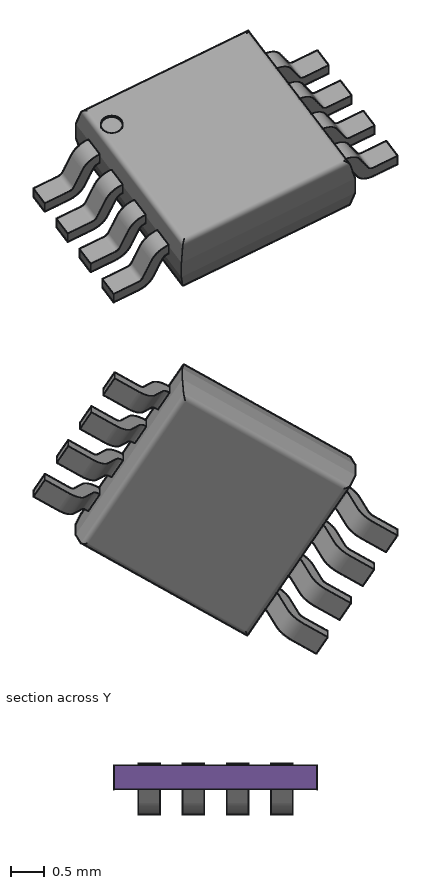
import cadquery as cq
import math

OVERALL_LENGTH = 4.9

HOUSING_SIDE = 3.0
HOUSING_HEIGHT = 1.1
BAND_HEIGHT = 0.355
TAPER_ANGLE = 10.0
RIM_RADIUS = 0.085

LEADS_PER_SIDE = 4
LEAD_PITCH = 0.65
LEAD_WIDTH = 0.325
LEAD_THICKNESS = 0.21
LEAD_TOP = 0.755
LEAD_SLOPE = 64.5
SHOULDER_LENGTH = 0.02
SHOULDER_INNER_RADIUS = 0.1
FOOT_INNER_RADIUS = 0.09

MARKER_DIAMETER = 0.325
MARKER_WALL_OFFSET = 0.305
MARKER_DEPTH = 0.04
MARKER_THICKNESS = 0.02

half_side = HOUSING_SIDE / 2
taper_height = (HOUSING_HEIGHT - BAND_HEIGHT) / 2
first_lead_x = -LEAD_PITCH * (LEADS_PER_SIDE - 1) / 2
marker_x = first_lead_x
marker_y = -half_side + MARKER_WALL_OFFSET
marker_top = HOUSING_HEIGHT - MARKER_DEPTH
marker_bottom = marker_top - MARKER_THICKNESS


def marker_cylinder(bottom, top):
    """Upright cylinder at the marker's place, between two heights."""
    return (
        cq.Workplane("XY", origin=(marker_x, marker_y, bottom))
        .circle(MARKER_DIAMETER / 2)
        .extrude(top - bottom)
    )


def make_housing():
    """Tapered block with rounded top and bottom rims and the marker recess."""
    block = (
        cq.Workplane("XY", origin=(0, 0, taper_height))
        .rect(HOUSING_SIDE, HOUSING_SIDE)
        .extrude(BAND_HEIGHT)
        .faces(">Z").wires().toPending()
        .workplane()
        .extrude(taper_height, taper=TAPER_ANGLE)
        .faces("<Z").wires().toPending()
        .workplane()
        .extrude(taper_height, taper=TAPER_ANGLE)
    )
    rounded = block.faces("<Z or >Z").edges().fillet(RIM_RADIUS)
    return rounded.cut(marker_cylinder(marker_bottom, HOUSING_HEIGHT))


def make_lead(x):
    """Gull-wing lead on the -Y side: a rectangle swept along its mid-thickness line."""
    half_thickness = LEAD_THICKNESS / 2
    shoulder_z = LEAD_TOP - half_thickness
    foot_z = half_thickness
    slope = math.radians(LEAD_SLOPE)
    cos_slope = math.cos(slope)
    sin_slope = math.sin(slope)

    shoulder_radius = SHOULDER_INNER_RADIUS + half_thickness
    foot_radius = FOOT_INNER_RADIUS + half_thickness
    slope_start = (
        -half_side - SHOULDER_LENGTH - shoulder_radius * sin_slope,
        shoulder_z - shoulder_radius * (1 - cos_slope),
    )
    slope_end_z = foot_z + foot_radius * (1 - cos_slope)
    slope_end = (
        slope_start[0] - (slope_start[1] - slope_end_z) / math.tan(slope),
        slope_end_z,
    )
    foot_start = (slope_end[0] - foot_radius * sin_slope, foot_z)

    path = (
        cq.Workplane("YZ", origin=(x, 0, 0))
        .moveTo(-half_side, shoulder_z)
        .lineTo(-half_side - SHOULDER_LENGTH, shoulder_z)
        .tangentArcPoint(slope_start, relative=False)
        .lineTo(*slope_end)
        .tangentArcPoint(foot_start, relative=False)
        .lineTo(-OVERALL_LENGTH / 2, foot_z)
    )
    return (
        cq.Workplane("XZ", origin=(x, -half_side, shoulder_z))
        .rect(LEAD_WIDTH, LEAD_THICKNESS)
        .sweep(path)
    )


housing = make_housing()
marker = marker_cylinder(marker_bottom, marker_top)

leads = []
for index in range(LEADS_PER_SIDE):
    front_lead = make_lead(first_lead_x + index * LEAD_PITCH)
    back_lead = front_lead.mirror("XZ")
    leads.append(front_lead.val())
    leads.append(back_lead.val())

result = cq.Compound.makeCompound([housing.val(), marker.val(), *leads])